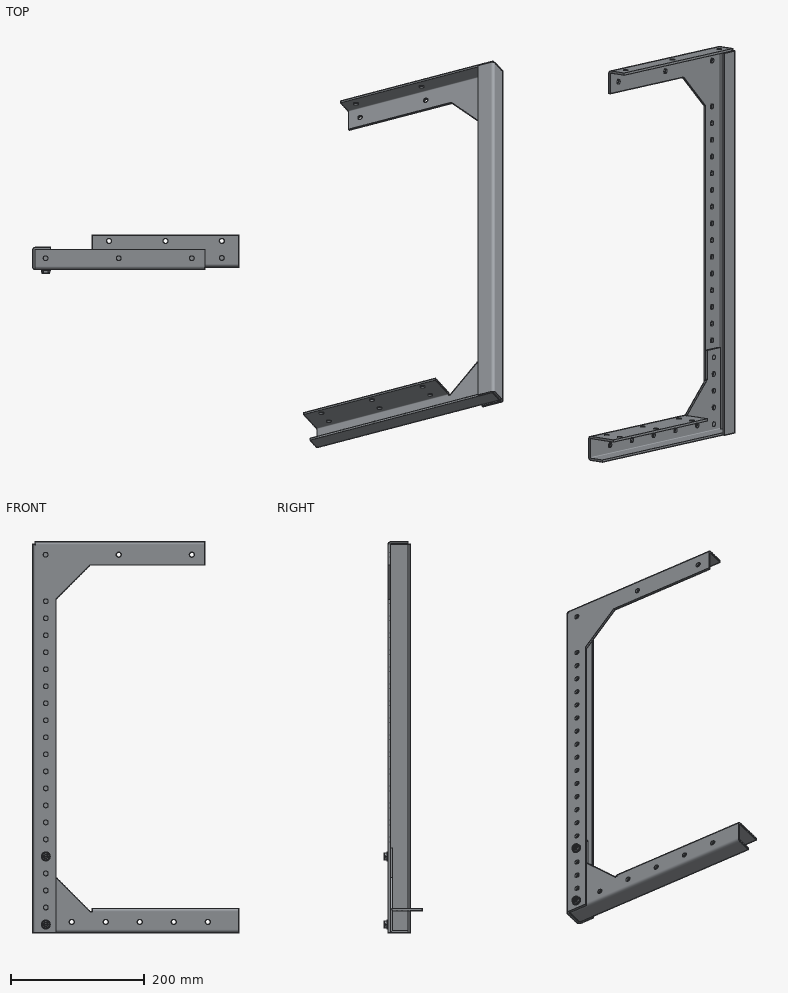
import cadquery as cq
import math

SHEET = 3.416
BEND_OUTER = 4.6
BEND_INNER = BEND_OUTER - SHEET
HOLE_DIA = 7.14

TOTAL_DEPTH = 57.19

HEIGHT = 584.2
ARM_WIDTH = 34.925
ARM_LENGTH = 257.175
UPRIGHT_DEPTH = 33.5
BACK_FLANGE_WIDTH = 26.9
CORNER_GAP = 0.2
GUSSET_LEG = 51

COLUMN_X = 19.7
COLUMN_PITCH = 25.4
COLUMN_FIRST_Z = COLUMN_PITCH / 2
COLUMN_COUNT = 20

ARM_HOLE_COUNT = 3
ARM_HOLE_INSET = 19.4
ARM_FLANGE_HOLE_Y = 17

LOWER_RIGHT_X = 307.98
LOWER_HEIGHT = 36.6
LOWER_TOP_DEPTH = 48.0
LOWER_FRONT_Y = SHEET
LOWER_LEFT_X = BEND_OUTER
LOWER_BOTTOM_DEPTH = UPRIGHT_DEPTH - 2 * SHEET
LOWER_FLANGE_START_X = 88.8

TAB_HOLE_COUNT = 5
TAB_HEIGHT = TAB_HOLE_COUNT * COLUMN_PITCH

LOWER_FACE_HOLE_COUNT = 5
LOWER_FACE_HOLE_PITCH = 50.8
LOWER_FACE_HOLE_FIRST_X = 58.4
LOWER_FACE_HOLE_Z = 16.5
LOWER_FLANGE_HOLE_COUNT = 3
LOWER_FLANGE_HOLE_INSET = 25.4
LOWER_FLANGE_ROW_INSET = 8.6
LOWER_FLANGE_ROW_SPACING = 25.4

SCREW_INDICES = (0, 4)
WASHER_DIA = 13.3
WASHER_THICKNESS = 1.6
HEAD_ACROSS_FLATS = 10.9
HEAD_HEIGHT = TOTAL_DEPTH - LOWER_TOP_DEPTH - LOWER_FRONT_Y - WASHER_THICKNESS
HEAD_CHAMFER_ANGLE = 30
HEAD_TOP_DIA = 10.0
DIMPLE_DIA = 6.0
DIMPLE_DEPTH = 1.0
SLOT_WIDTH = 1.95
SLOT_DEPTH = 1.9
HEX_CORNER_RATIO = 2 / math.sqrt(3)


def box(x0, x1, y0, y1, z0, z1):
    """Box given by its limits along each axis."""
    return cq.Workplane("XY").box(x1 - x0, y1 - y0, z1 - z0, centered=False).translate((x0, y0, z0))


def column_z(index):
    """Height of a hole in the upright's column."""
    return COLUMN_FIRST_Z + index * COLUMN_PITCH


def spaced(first, last, count):
    """Evenly spaced positions from first to last."""
    return [first + (last - first) * i / (count - 1) for i in range(count)]


def drill_y(points, diameter, y0, depth):
    """Round cutters along +Y at (x, z) points, starting at y0."""
    cutters = cq.Workplane("XZ").pushPoints(points).circle(diameter / 2).extrude(-depth)
    return cutters.translate((0, y0, 0))


def drill_z(points, diameter, z0, depth):
    """Round cutters along +Z at (x, y) points, starting at z0."""
    cutters = cq.Workplane("XY").pushPoints(points).circle(diameter / 2).extrude(depth)
    return cutters.translate((0, 0, z0))


def front_plate(outline):
    """Flat plate of sheet thickness from an (x, z) outline, front face on Y = 0."""
    return cq.Workplane("XZ").polyline(outline).close().extrude(-SHEET)


def flange_profile(plane, depth):
    """Section of a bend and its flange. Local x is the distance from the flange's outer face and
    local y the distance from the plate's front face; the flange ends at the given depth."""
    mid = BEND_OUTER * (1 - 0.5 ** 0.5)
    inner_mid = BEND_OUTER - BEND_INNER * 0.5 ** 0.5
    return (
        plane.moveTo(BEND_OUTER, 0)
        .threePointArc((mid, mid), (0, BEND_OUTER))
        .lineTo(0, depth)
        .lineTo(SHEET, depth)
        .lineTo(SHEET, BEND_OUTER)
        .threePointArc((inner_mid, inner_mid), (BEND_OUTER, SHEET))
        .close()
    )


def bottom_flange(x0, x1, depth):
    """Flange folded back along the bottom edge (Z = 0), its bend touching Y = 0."""
    section_plane = cq.Workplane(cq.Plane((x0, 0, 0), xDir=(0, 0, 1), normal=(-1, 0, 0)))
    return flange_profile(section_plane, depth).extrude(x0 - x1)


def top_flange(x0, x1, depth, top_z):
    """Flange folded back along a top edge at top_z."""
    return bottom_flange(x0, x1, depth).mirror("XY").translate((0, 0, top_z))


def upright_channel():
    """Front bend, web and back flange of the upright."""
    top_z = HEIGHT - SHEET - CORNER_GAP
    outer = (
        box(0, ARM_WIDTH, 0, UPRIGHT_DEPTH, 0, top_z)
        .edges("|Z and <X")
        .fillet(BEND_OUTER)
    )
    inner = (
        box(SHEET, ARM_WIDTH, SHEET, UPRIGHT_DEPTH - SHEET, 0, top_z)
        .edges("|Z and <X")
        .fillet(BEND_INNER)
    )
    beyond_back_flange = box(BACK_FLANGE_WIDTH, ARM_WIDTH, SHEET, UPRIGHT_DEPTH, 0, top_z)
    beyond_front_bend = box(BEND_OUTER, ARM_WIDTH, 0, SHEET, 0, top_z)
    return outer.cut(inner).cut(beyond_back_flange).cut(beyond_front_bend)


def make_upright():
    """Upright channel with the gusseted arm at its top, and all of its holes."""
    arm_bottom = HEIGHT - ARM_WIDTH
    plate = front_plate(
        [
            (BEND_OUTER, 0),
            (ARM_WIDTH, 0),
            (ARM_WIDTH, arm_bottom - GUSSET_LEG),
            (ARM_WIDTH + GUSSET_LEG, arm_bottom),
            (ARM_LENGTH, arm_bottom),
            (ARM_LENGTH, HEIGHT - BEND_OUTER),
            (BEND_OUTER, HEIGHT - BEND_OUTER),
        ]
    )
    arm_flange = top_flange(SHEET, ARM_LENGTH, UPRIGHT_DEPTH - SHEET, HEIGHT)
    arm_xs = spaced(ARM_HOLE_INSET, ARM_LENGTH - ARM_HOLE_INSET, ARM_HOLE_COUNT)
    column = [(COLUMN_X, column_z(i)) for i in range(COLUMN_COUNT)]
    arm_face = [(x, HEIGHT - ARM_HOLE_INSET) for x in arm_xs]
    arm_top = [(x, ARM_FLANGE_HOLE_Y) for x in arm_xs]
    return (
        upright_channel()
        .union(plate)
        .union(arm_flange)
        .cut(drill_y(column, HOLE_DIA, 0, SHEET))
        .cut(drill_y(arm_face, HOLE_DIA, 0, SHEET))
        .cut(drill_z(arm_top, HOLE_DIA, HEIGHT - SHEET, SHEET))
    )


def make_lower():
    """Lower bracket: a gusseted channel with a tab that overlaps the back of the upright's plate."""
    face_top = LOWER_HEIGHT - BEND_OUTER
    plate = front_plate(
        [
            (LOWER_LEFT_X, BEND_OUTER),
            (LOWER_RIGHT_X, BEND_OUTER),
            (LOWER_RIGHT_X, face_top),
            (ARM_WIDTH + GUSSET_LEG, face_top),
            (ARM_WIDTH, face_top + GUSSET_LEG),
            (ARM_WIDTH, TAB_HEIGHT),
            (LOWER_LEFT_X, TAB_HEIGHT),
        ]
    )
    bottom = bottom_flange(LOWER_LEFT_X, LOWER_RIGHT_X, LOWER_BOTTOM_DEPTH)
    top = top_flange(LOWER_FLANGE_START_X, LOWER_RIGHT_X, LOWER_TOP_DEPTH, LOWER_HEIGHT)
    tab_holes = [(COLUMN_X, column_z(i)) for i in range(TAB_HOLE_COUNT)]
    face_holes = [
        (LOWER_FACE_HOLE_FIRST_X + i * LOWER_FACE_HOLE_PITCH, LOWER_FACE_HOLE_Z)
        for i in range(LOWER_FACE_HOLE_COUNT)
    ]
    flange_xs = spaced(
        LOWER_FLANGE_START_X + LOWER_FLANGE_HOLE_INSET,
        LOWER_RIGHT_X - LOWER_FLANGE_HOLE_INSET,
        LOWER_FLANGE_HOLE_COUNT,
    )
    back_row_y = LOWER_TOP_DEPTH - LOWER_FLANGE_ROW_INSET
    row_ys = (back_row_y, back_row_y - LOWER_FLANGE_ROW_SPACING)
    flange_holes = [(x, y) for x in flange_xs for y in row_ys]
    return (
        plate.union(bottom)
        .union(top)
        .cut(drill_y(tab_holes, HOLE_DIA, 0, SHEET))
        .cut(drill_y(face_holes, HOLE_DIA, 0, SHEET))
        .cut(drill_z(flange_holes, HOLE_DIA, LOWER_HEIGHT - SHEET, SHEET))
        .translate((0, LOWER_FRONT_Y, 0))
    )


def make_washer(z):
    """Flat washer on the upright's front face, around one screw."""
    return (
        cq.Workplane("XZ", origin=(COLUMN_X, 0, z))
        .circle(WASHER_DIA / 2)
        .circle(HOLE_DIA / 2)
        .extrude(WASHER_THICKNESS)
    )


def make_screw(z):
    """Slotted hex screw with a chamfered, dimpled head; its shank passes the washer and both
    plates and ends flush behind them."""
    head_back_y = -WASHER_THICKNESS
    head_front_y = head_back_y - HEAD_HEIGHT
    shank_end_y = LOWER_FRONT_Y + SHEET
    corner_radius = HEAD_ACROSS_FLATS * HEX_CORNER_RATIO / 2
    head = (
        cq.Workplane("XZ", origin=(COLUMN_X, head_back_y, z))
        .polygon(6, 2 * corner_radius)
        .extrude(HEAD_HEIGHT)
    )
    chamfer_run = corner_radius - HEAD_TOP_DIA / 2
    chamfer_drop = chamfer_run * math.tan(math.radians(HEAD_CHAMFER_ANGLE))
    chamfer_envelope = (
        cq.Workplane("XZ", origin=(COLUMN_X, head_back_y, z))
        .circle(corner_radius)
        .extrude(HEAD_HEIGHT)
        .faces("<Y")
        .chamfer(chamfer_drop, chamfer_run)
    )
    head = head.intersect(chamfer_envelope)
    dimple = drill_y([(COLUMN_X, z)], DIMPLE_DIA, head_front_y, DIMPLE_DEPTH)
    shank = drill_y([(COLUMN_X, z)], HOLE_DIA, head_back_y, shank_end_y - head_back_y)
    slot = box(
        COLUMN_X - HEAD_ACROSS_FLATS,
        COLUMN_X + HEAD_ACROSS_FLATS,
        head_front_y,
        head_front_y + SLOT_DEPTH,
        z - SLOT_WIDTH / 2,
        z + SLOT_WIDTH / 2,
    )
    return head.union(shank).cut(slot).cut(dimple)


upright = make_upright()
lower = make_lower()
screw_heights = [column_z(i) for i in SCREW_INDICES]
washers = [make_washer(z) for z in screw_heights]
screws = [make_screw(z) for z in screw_heights]

bodies = [upright, lower, *washers, *screws]
result = cq.Compound.makeCompound([body.solids().val() for body in bodies])